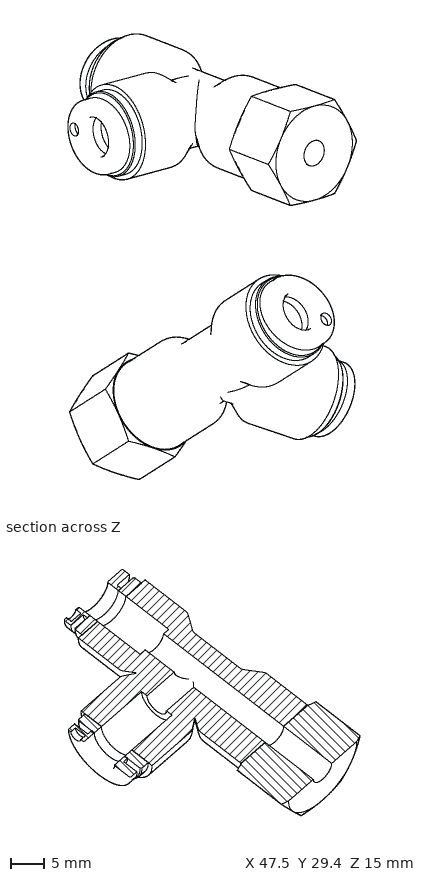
import cadquery as cq
import math

BODY_DIA = 14.7
WAIST_DIA = 10.68
WAIST_HALF_LENGTH = 5.0
BARREL_START = 8.0
ARM_LENGTH = 16.85
SHOULDER_RADIUS = 1.0
FLOW_DIA = 4.0
TUBE_DIA = 6.2

CAP_DIA = 13.15
CAP_LENGTH = 1.55
CAP_CHAMFER = 0.2

NECK_DIA = 7.5
PORT_REACH = 20.7
FLANGE_WIDTH = 12.9
FLANGE_HEIGHT = 11.55
FLANGE_THICKNESS = 1.5
SLEEVE_EDGE_RADIUS = 0.25
MARK_DIA = 2.0
MARK_OFFSET = 4.8
MARK_DEPTH = 1.0

NUT_ACROSS_FLATS = 15.0
NUT_LENGTH = 9.9
NUT_CHAMFER = 0.4

NUT_ACROSS_CORNERS = NUT_ACROSS_FLATS / math.cos(math.radians(30))
CAP_END = ARM_LENGTH + CAP_LENGTH
NECK_LENGTH = PORT_REACH - FLANGE_THICKNESS - CAP_END

LEFT_ARM = cq.Plane(origin=(0, 0, 0), xDir=(0, -1, 0), normal=(-1, 0, 0))
BRANCH_ARM = cq.Plane(origin=(0, 0, 0), xDir=(-1, 0, 0), normal=(0, -1, 0))
RIGHT_ARM = cq.Plane(origin=(0, 0, 0), xDir=(0, 1, 0), normal=(1, 0, 0))
TUBE_PORTS = (LEFT_ARM, BRANCH_ARM)


def arm_plane(arm, distance):
    """Workplane across an arm at a distance from the axis crossing."""
    return cq.Workplane(arm).workplane(offset=distance)


def make_arm(arm):
    """Solid arm: waist, cone with blended ends, and barrel."""
    half_profile = [
        (0, 0),
        (WAIST_DIA / 2, 0),
        (WAIST_DIA / 2, WAIST_HALF_LENGTH),
        (BODY_DIA / 2, BARREL_START),
        (BODY_DIA / 2, ARM_LENGTH),
        (0, ARM_LENGTH),
    ]
    outline = cq.Workplane("XZ").polyline(half_profile).close()
    solid = outline.revolve(360, (0, 0, 0), (0, 1, 0))
    solid = solid.faces("%CONE").edges("%CIRCLE").fillet(SHOULDER_RADIUS)
    return cq.Workplane(solid.val().moved(cq.Location(arm)))


def make_body():
    """Tee with a flow passage in every arm and a tube socket in each tube port."""
    body = make_arm(LEFT_ARM).union(make_arm(RIGHT_ARM)).union(make_arm(BRANCH_ARM))
    for arm in (LEFT_ARM, RIGHT_ARM, BRANCH_ARM):
        body = body.cut(arm_plane(arm, 0).circle(FLOW_DIA / 2).extrude(ARM_LENGTH))
    socket_depth = ARM_LENGTH - BARREL_START
    for port in TUBE_PORTS:
        body = body.cut(arm_plane(port, BARREL_START).circle(TUBE_DIA / 2).extrude(socket_depth))
    return body


def make_cap(port):
    """Ring against the end face of a tube port."""
    cap = arm_plane(port, ARM_LENGTH).circle(CAP_DIA / 2).extrude(CAP_LENGTH)
    cap = cap.faces(cq.DirectionMinMaxSelector(port.zDir)).edges().chamfer(CAP_CHAMFER)
    return cap.cut(arm_plane(port, ARM_LENGTH).circle(TUBE_DIA / 2).extrude(CAP_LENGTH))


def make_sleeve(port):
    """Oval push flange on a round neck, with a tube bore and a round blind mark."""
    neck = arm_plane(port, CAP_END).circle(NECK_DIA / 2).extrude(NECK_LENGTH)
    flange = (
        arm_plane(port, PORT_REACH)
        .ellipse(FLANGE_WIDTH / 2, FLANGE_HEIGHT / 2)
        .extrude(-FLANGE_THICKNESS)
    )
    bore = arm_plane(port, CAP_END).circle(TUBE_DIA / 2).extrude(PORT_REACH - CAP_END)
    sleeve = neck.union(flange).cut(bore)
    sleeve = sleeve.faces(cq.DirectionMinMaxSelector(port.zDir)).edges().fillet(SLEEVE_EDGE_RADIUS)
    mark = (
        arm_plane(port, PORT_REACH)
        .center(MARK_OFFSET, 0)
        .circle(MARK_DIA / 2)
        .extrude(-MARK_DEPTH)
    )
    return sleeve.cut(mark)


def make_nut():
    """Hexagon with its corners chamfered at both ends and a flow passage through it."""
    nut = arm_plane(RIGHT_ARM, ARM_LENGTH).polygon(6, NUT_ACROSS_CORNERS).extrude(NUT_LENGTH)
    envelope = (
        arm_plane(RIGHT_ARM, ARM_LENGTH)
        .circle(NUT_ACROSS_CORNERS / 2)
        .extrude(NUT_LENGTH)
        .edges("%CIRCLE")
        .chamfer(NUT_CHAMFER, (NUT_ACROSS_CORNERS - NUT_ACROSS_FLATS) / 2)
    )
    passage = arm_plane(RIGHT_ARM, ARM_LENGTH).circle(FLOW_DIA / 2).extrude(NUT_LENGTH)
    return nut.intersect(envelope).cut(passage)


body = make_body()
nut = make_nut()
caps = [make_cap(port) for port in TUBE_PORTS]
sleeves = [make_sleeve(port) for port in TUBE_PORTS]

bodies = [body, nut, *caps, *sleeves]

result = cq.Compound.makeCompound([part.solids().val() for part in bodies])